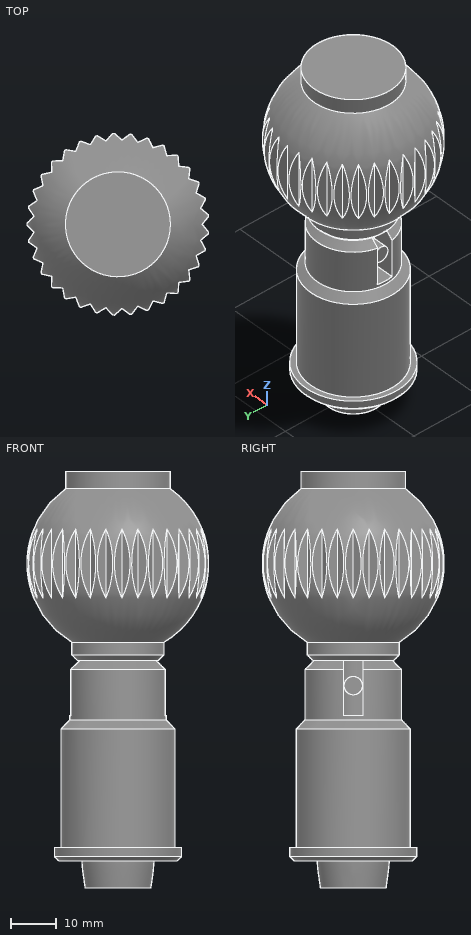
import cadquery as cq
import math

FLANGE_BOTTOM_Z = 5.95
FLANGE_TOP_Z = 9.0
SHOULDER_Z = 37.0
SLOT_FLOOR_Z = 37.9
PIN_Z = 44.5
SLEEVE_TOP_Z = 50.0
COLLAR_TOP_Z = 54.0
BALL_CENTER_Z = 71.4
KNOB_TOP_Z = 91.5

FLANGE_RADIUS = 14.0
FLANGE_CHAMFER = 1.0
BODY_RADIUS = 12.5
SHOULDER_HEIGHT = 2.0
NECK_RADIUS = 10.6
NECK_CHAMFER = 1.9
SLOT_WIDTH = 4.2

NOSE_TIP_RADIUS = 7.2
NOSE_MIDDLE_RADIUS = 7.7
NOSE_ROOT_RADIUS = 8.0
STEM_RADIUS = 5.0
COLLAR_RADIUS = 10.2
COLLAR_CHAMFER = 1.3
BALL_DIAMETER = 40.0
BALL_RADIUS = BALL_DIAMETER / 2
CAP_RADIUS = 11.5
PIN_DIAMETER = 4.0
PIN_REACH = 9.15

GROOVE_COUNT = 33
GROOVE_DEPTH = 1.5
GROOVE_ANGLE = 102.0
GROOVE_OVERSHOOT = 0.9


def sleeve_profile():
    """Half section of the sleeve in the XZ plane, with its bore on the inside."""
    neck_top_radius = NECK_RADIUS - NECK_CHAMFER
    return (
        cq.Workplane("XZ")
        .moveTo(STEM_RADIUS, FLANGE_BOTTOM_Z)
        .lineTo(FLANGE_RADIUS - FLANGE_CHAMFER, FLANGE_BOTTOM_Z)
        .lineTo(FLANGE_RADIUS, FLANGE_BOTTOM_Z + FLANGE_CHAMFER)
        .lineTo(FLANGE_RADIUS, FLANGE_TOP_Z)
        .lineTo(BODY_RADIUS, FLANGE_TOP_Z)
        .lineTo(BODY_RADIUS, SHOULDER_Z - SHOULDER_HEIGHT)
        .lineTo(NECK_RADIUS, SHOULDER_Z)
        .lineTo(NECK_RADIUS, SLEEVE_TOP_Z - NECK_CHAMFER)
        .lineTo(neck_top_radius, SLEEVE_TOP_Z)
        .lineTo(STEM_RADIUS, SLEEVE_TOP_Z)
        .close()
    )


def make_sleeve():
    """Flanged sleeve with a cross slot open at its top for the pin."""
    slot_height = SLEEVE_TOP_Z - SLOT_FLOOR_Z
    slot = cq.Workplane("XY", origin=(0, 0, SLOT_FLOOR_Z)).box(
        2 * BODY_RADIUS, SLOT_WIDTH, slot_height, centered=(True, True, False)
    )
    return sleeve_profile().revolve(360, (0, 0), (0, 1)).cut(slot)


def plunger_profile():
    """Half section of nose, stem, collar, ball and cap in the XZ plane."""
    cap_bottom_z = BALL_CENTER_Z + math.sqrt(BALL_RADIUS**2 - CAP_RADIUS**2)
    return (
        cq.Workplane("XZ")
        .moveTo(0, 0)
        .lineTo(NOSE_TIP_RADIUS, 0)
        .threePointArc((NOSE_MIDDLE_RADIUS, FLANGE_BOTTOM_Z / 2), (NOSE_ROOT_RADIUS, FLANGE_BOTTOM_Z))
        .lineTo(STEM_RADIUS, FLANGE_BOTTOM_Z)
        .lineTo(STEM_RADIUS, SLEEVE_TOP_Z)
        .lineTo(COLLAR_RADIUS - COLLAR_CHAMFER, SLEEVE_TOP_Z)
        .lineTo(COLLAR_RADIUS, SLEEVE_TOP_Z + COLLAR_CHAMFER)
        .lineTo(COLLAR_RADIUS, COLLAR_TOP_Z)
        .threePointArc((BALL_RADIUS, BALL_CENTER_Z), (CAP_RADIUS, cap_bottom_z))
        .lineTo(CAP_RADIUS, KNOB_TOP_Z)
        .lineTo(0, KNOB_TOP_Z)
        .close()
    )


def make_groove_cutter():
    """Upright V prism that cuts one grip groove on the +X side of the ball."""
    root = BALL_RADIUS - GROOVE_DEPTH
    outer = BALL_RADIUS + GROOVE_OVERSHOOT
    half_width = (outer - root) * math.tan(math.radians(GROOVE_ANGLE / 2))
    return (
        cq.Workplane("XY", origin=(0, 0, BALL_CENTER_Z))
        .polyline([(root, 0), (outer, -half_width), (outer, half_width)])
        .close()
        .extrude(BALL_RADIUS / 2, both=True)
    )


def make_plunger():
    """Ball knob, stem and cross pin in one piece."""
    plunger = plunger_profile().revolve(360, (0, 0), (0, 1))
    pin = (
        cq.Workplane("YZ", origin=(-PIN_REACH, 0, PIN_Z))
        .circle(PIN_DIAMETER / 2)
        .extrude(2 * PIN_REACH)
    )
    plunger = plunger.union(pin)
    groove = make_groove_cutter()
    for index in range(GROOVE_COUNT):
        angle = index * 360 / GROOVE_COUNT
        plunger = plunger.cut(groove.rotate((0, 0, 0), (0, 0, 1), angle))
    return plunger


sleeve = make_sleeve()
plunger = make_plunger()

result = cq.Compound.makeCompound([sleeve.val(), plunger.val()])